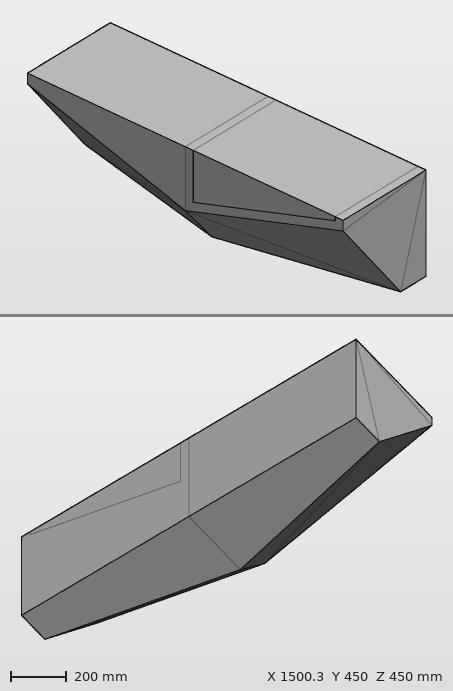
import cadquery as cq
import math

half_length = 750.0
depth = 450.0
height = 450.0
end_skew = 0.3

end_lip_height = 45.0
middle_lip_height = 270.0

frame_width = 37.5
panel_setback = 0.5

end_base_depth = 138.0
middle_base_depth = 305.0

back_y = depth / 2
front_y = -depth / 2
top_z = height / 2
bottom_z = -height / 2


def cross_section(front_x, back_x, lip_height, base_depth):
    """Corners of one section: back top, front top, lip edge, base front edge, back bottom."""
    return [
        cq.Vector(back_x, back_y, top_z),
        cq.Vector(front_x, front_y, top_z),
        cq.Vector(front_x, front_y, top_z - lip_height),
        cq.Vector(back_x, back_y - base_depth, bottom_z),
        cq.Vector(back_x, back_y, bottom_z),
    ]


def planar_face(*corners):
    return cq.Face.makeFromWires(cq.Wire.makePolygon(corners, close=True))


def tapered_block(end, middle):
    """Solid between an end section and the middle section."""
    end_back_top, end_front_top, end_lip, end_base, end_back_bottom = end
    mid_back_top, mid_front_top, mid_lip, mid_base, mid_back_bottom = middle
    faces = [
        planar_face(end_back_top, end_front_top, mid_front_top, mid_back_top),
        planar_face(end_front_top, end_lip, mid_lip, mid_front_top),
        planar_face(end_lip, end_base, mid_lip),
        planar_face(end_base, mid_base, mid_lip),
        planar_face(end_base, end_back_bottom, mid_back_bottom, mid_base),
        planar_face(end_back_bottom, end_back_top, mid_back_top, mid_back_bottom),
        planar_face(end_back_top, end_front_top, end_lip),
        planar_face(end_back_top, end_lip, end_base),
        planar_face(end_back_top, end_base, end_back_bottom),
        planar_face(*middle),
    ]
    return cq.Solid.makeSolid(cq.Shell.makeShell(faces)).fix()


def panel_prism(panel_front_y):
    """Prism inside the +X frame, from the given front plane through to the back and top faces."""
    lip_rise = middle_lip_height - end_lip_height
    lip_slope = lip_rise / half_length
    height_above_lip = frame_width * math.hypot(1, lip_slope)
    inner_x = frame_width
    outer_x = half_length - frame_width
    lowest_z = top_z - middle_lip_height + height_above_lip
    outline = [
        (inner_x, top_z),
        (inner_x, lowest_z + lip_slope * inner_x),
        (outer_x, lowest_z + lip_slope * outer_x),
        (outer_x, top_z),
    ]
    front_plane = cq.Workplane("XZ", origin=(0, panel_front_y, 0))
    return front_plane.polyline(outline).close().extrude(panel_front_y - back_y).val()


middle_section = cross_section(0, 0, middle_lip_height, middle_base_depth)
left_section = cross_section(-half_length, -half_length, end_lip_height, end_base_depth)
right_section = cross_section(half_length, half_length + end_skew, end_lip_height, end_base_depth)

left_block = tapered_block(left_section, middle_section)
right_block = tapered_block(right_section, middle_section)

frame = left_block.fuse(right_block).cut(panel_prism(front_y))
panel = panel_prism(front_y + panel_setback)

body = frame.fuse(panel)
result = cq.Workplane(body.Solids()[0])